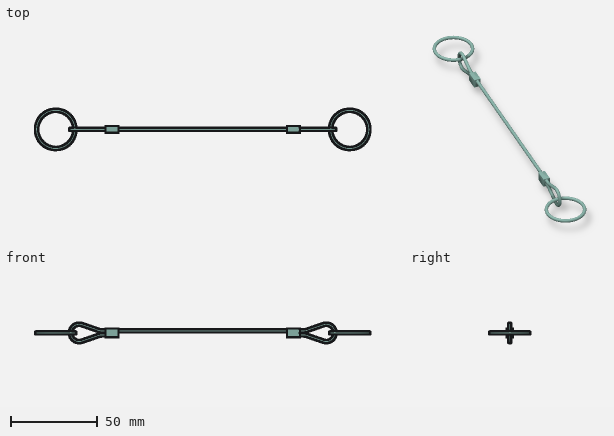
import cadquery as cq
import math

overall_length = 193.0
ring_outer_diameter = 24.0
ring_wire_diameter = 2.0
ring_pitch_radius = (ring_outer_diameter - ring_wire_diameter) / 2
ring_center_x = (overall_length - ring_outer_diameter) / 2

cable_diameter = 2.0
strand_offset = 1.2
loop_height = 12.0
loop_radius = (loop_height - cable_diameter) / 2
loop_center_x = 71.0
leg_angle = math.radians(19)
bend_radius = 4.0

sleeve_length = 7.5
sleeve_width = 4.0
sleeve_height = 5.2
sleeve_inner_x = 48.4
sleeve_center_x = sleeve_inner_x + sleeve_length / 2

leg_start_x = loop_center_x - loop_radius * math.sin(leg_angle)
leg_start_z = loop_radius * math.cos(leg_angle)
corner_x = leg_start_x - (leg_start_z - strand_offset) / math.tan(leg_angle)
bend_setback = bend_radius * math.tan(leg_angle / 2)
bend_start_x = corner_x - bend_setback
bend_end_x = corner_x + bend_setback * math.cos(leg_angle)
bend_end_z = strand_offset + bend_setback * math.sin(leg_angle)
bend_middle_x = bend_start_x + bend_radius * math.sin(leg_angle / 2)
bend_middle_z = strand_offset + bend_radius * (1 - math.cos(leg_angle / 2))


def make_ring(side):
    """Round wire ring at the +X (side = 1) or -X (side = -1) end."""
    ring = cq.Solid.makeTorus(ring_pitch_radius, ring_wire_diameter / 2)
    return ring.translate(cq.Vector(side * ring_center_x, 0, 0))


def make_loop():
    """Teardrop loop at the +X end, with both of its strands ending inside the sleeve."""
    path = (
        cq.Workplane("XZ")
        .moveTo(sleeve_center_x, strand_offset)
        .lineTo(bend_start_x, strand_offset)
        .threePointArc((bend_middle_x, bend_middle_z), (bend_end_x, bend_end_z))
        .lineTo(leg_start_x, leg_start_z)
        .threePointArc((loop_center_x + loop_radius, 0), (leg_start_x, -leg_start_z))
        .lineTo(bend_end_x, -bend_end_z)
        .threePointArc((bend_middle_x, -bend_middle_z), (bend_start_x, -strand_offset))
        .lineTo(sleeve_center_x, -strand_offset)
    )
    return (
        cq.Workplane("YZ", origin=(sleeve_center_x, 0, strand_offset))
        .circle(cable_diameter / 2)
        .sweep(path)
    )


def make_sleeve(side):
    """Rectangular crimp sleeve that holds the two strands together."""
    return cq.Workplane("XY").box(sleeve_length, sleeve_width, sleeve_height).translate(
        (side * sleeve_center_x, 0, 0)
    )


def make_lanyard():
    """Cable with a crimped loop at each end, as one body."""
    lanyard = (
        cq.Workplane("YZ", origin=(-sleeve_center_x, 0, strand_offset))
        .circle(cable_diameter / 2)
        .extrude(2 * sleeve_center_x)
    )
    right_loop = make_loop()
    loops = {1: right_loop, -1: right_loop.mirror("YZ")}
    for side, loop in loops.items():
        lanyard = lanyard.union(make_sleeve(side)).union(loop)
    return lanyard


lanyard = make_lanyard()
rings = [make_ring(side) for side in (-1, 1)]

result = cq.Compound.makeCompound([lanyard.val(), *rings])